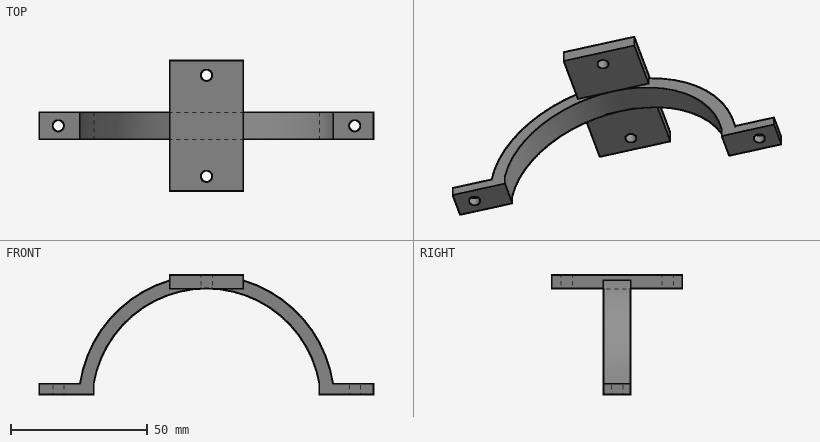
import cadquery as cq
import math

length = 122.8
height = 44.0

strap_width = 10.0
outer_radius = 47.0
strap_thickness = 5.0
inner_radius = outer_radius - strap_thickness
arch_center_z = height - outer_radius

foot_thickness = 4.0
foot_hole_x = 54.4

plate_length_x = 27.0
plate_width_y = 48.0
plate_thickness = strap_thickness
plate_hole_y = 18.5

hole_diameter = 4.0


def arc_half_width(radius, z):
    """Half the width of an arch circle at height z."""
    return math.sqrt(radius**2 - (z - arch_center_z) ** 2)


def make_strap():
    """Arch and both feet as one outline, extruded across the strap width."""
    inner_x = arc_half_width(inner_radius, foot_thickness)
    outer_x = arc_half_width(outer_radius, foot_thickness)
    end_x = length / 2
    return (
        cq.Workplane("XZ")
        .moveTo(-end_x, 0)
        .lineTo(-inner_x, 0)
        .lineTo(-inner_x, foot_thickness)
        .threePointArc((0, arch_center_z + inner_radius), (inner_x, foot_thickness))
        .lineTo(inner_x, 0)
        .lineTo(end_x, 0)
        .lineTo(end_x, foot_thickness)
        .lineTo(outer_x, foot_thickness)
        .threePointArc((0, height), (-outer_x, foot_thickness))
        .lineTo(-end_x, foot_thickness)
        .close()
        .extrude(strap_width / 2, both=True)
    )


def make_plate():
    """Flat rectangular plate on the crown of the arch."""
    return (
        cq.Workplane("XY")
        .workplane(offset=height - plate_thickness)
        .rect(plate_length_x, plate_width_y)
        .extrude(plate_thickness)
    )


def make_holes():
    """Vertical through holes in both feet and at both ends of the plate."""
    centers = [
        (-foot_hole_x, 0),
        (foot_hole_x, 0),
        (0, -plate_hole_y),
        (0, plate_hole_y),
    ]
    return cq.Workplane("XY").pushPoints(centers).circle(hole_diameter / 2).extrude(height)


result = make_strap().union(make_plate()).cut(make_holes())